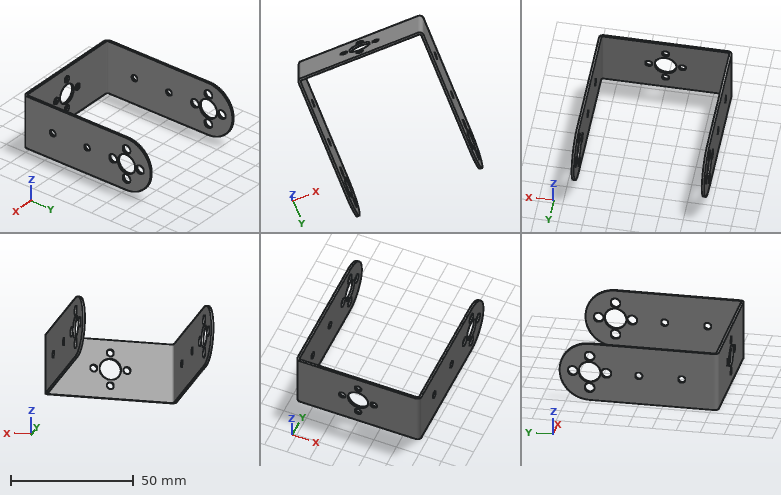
import cadquery as cq

width = 55.0
length = 66.0
height = 25.0
thickness = 1.0
bend_outer_radius = 1.8
bend_inner_radius = bend_outer_radius - thickness

center_hole_diameter = 9.0
screw_circle_radius = 7.0
base_screw_diameter = 3.0
arm_screw_diameter = 4.0
side_hole_diameter = 3.0
side_hole_distances = (15.1, 33.0)

arm_end_radius = height / 2
pivot_y = length - arm_end_radius


def box_from_base(size_x, size_y, base_y):
    """Box centred on X and Z, reaching toward +Y from base_y."""
    return (
        cq.Workplane("XY")
        .box(size_x, size_y, height, centered=(True, False, True))
        .translate((0, base_y, 0))
    )


def bent_strip():
    outer = box_from_base(width, length, 0)
    outer = outer.edges("|Z and <Y").fillet(bend_outer_radius)
    inner = box_from_base(width - 2 * thickness, length, thickness)
    inner = inner.edges("|Z and <Y").fillet(bend_inner_radius)
    return outer.cut(inner)


def rounded_arm_outline():
    """Side outline of the arms, extruded across the full width."""
    half_height = height / 2
    return (
        cq.Workplane("YZ")
        .moveTo(0, -half_height)
        .lineTo(pivot_y, -half_height)
        .threePointArc((length, 0), (pivot_y, half_height))
        .lineTo(0, half_height)
        .close()
        .extrude(width / 2, both=True)
    )


def horn_holes(plane, screw_diameter, depth):
    """Large centre hole with four screw holes around it."""
    center = plane.circle(center_hole_diameter / 2).extrude(depth, both=True)
    screws = (
        plane.polarArray(screw_circle_radius, 0, 360, 4)
        .circle(screw_diameter / 2)
        .extrude(depth, both=True)
    )
    return center.union(screws)


def side_holes():
    places = [(distance, 0) for distance in side_hole_distances]
    return (
        cq.Workplane("YZ")
        .pushPoints(places)
        .circle(side_hole_diameter / 2)
        .extrude(width, both=True)
    )


base_holes = horn_holes(cq.Workplane("XZ"), base_screw_diameter, 2 * thickness)
arm_holes = horn_holes(cq.Workplane("YZ", origin=(0, pivot_y, 0)), arm_screw_diameter, width)

result = (
    bent_strip()
    .intersect(rounded_arm_outline())
    .cut(base_holes)
    .cut(arm_holes)
    .cut(side_holes())
)